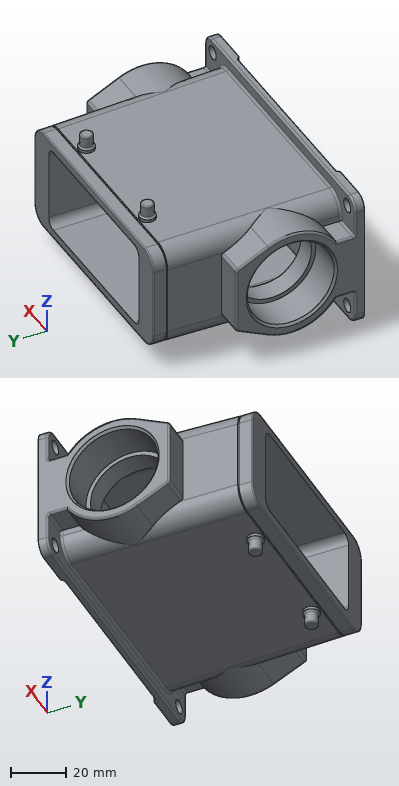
import cadquery as cq
import math

LENGTH = 117.0
DEPTH = 80.3
HEIGHT = 56.0

FLANGE_THICKNESS = 4.0
FLANGE_CORNER_RADIUS = 5.0
SCREW_HOLE_DIAMETER = 5.5
SCREW_SPACING_X = 105.0
SCREW_SPACING_Z = 45.2
RELIEF_DEPTH = 1.2
RELIEF_OPEN_WIDTH = 79.1
RELIEF_FLOOR_WIDTH = RELIEF_OPEN_WIDTH - 2 * RELIEF_DEPTH

SHELL_END_Y = 74.8
SHELL_BASE_WIDTH = 95.5
SHELL_BASE_HEIGHT = 45.4
SHELL_DRAFT_ANGLE = 1.0
SHELL_CORNER_RADIUS = 7.6
SHELL_END_CHAMFER = 0.4
COLLAR_WIDTH = 92.7
COLLAR_HEIGHT = 42.4
COLLAR_CORNER_RADIUS = 6.9
COLLAR_EDGE_RADIUS = 0.5

ENTRY_Y = 29.8
ENTRY_RADIUS = 22.2
ENTRY_FLAT_Y = 52.6
ENTRY_FLAT_HEIGHT = 27.4
ENTRY_FLAT_CORNER_RADIUS = 1.5
NECK_HEIGHT = 25.0
ENTRY_BORE_DIAMETER = 35.6
ENTRY_BORE_DEPTH = 15.2
ENTRY_BORE_CHAMFER = 0.9
THROUGH_HOLE_DIAMETER = 32.0

OUTER_EDGE_RADIUS = 0.8
FOOT_RADIUS = 0.9

CAVITY_WIDTH = 70.2
CAVITY_HEIGHT = 35.1
CAVITY_START_Y = 9.4
CAVITY_CORNER_RADIUS = 3.5

PEG_SPACING = 47.5
PEG_Y = 70.8
PEG_DIAMETER = 5.0
PEG_TIP_RADIUS = 0.5
PEG_SEAT_Z = 21.1
RING_TOP_Z = 22.7
RING_FILLET_RADIUS = 0.7
RING_DIAMETER = PEG_DIAMETER + 2 * RING_FILLET_RADIUS


def xz_plane(y):
    """Sketch plane at the given Y whose normal is +Y and whose local X is +X (local Y is -Z)."""
    return cq.Workplane(cq.Plane(origin=(0, y, 0), xDir=(1, 0, 0), normal=(0, 1, 0)))


def box_selector(center, size):
    """Select what has its centre inside a box of the given centre and size."""
    low = tuple(middle - extent / 2 for middle, extent in zip(center, size))
    high = tuple(middle + extent / 2 for middle, extent in zip(center, size))
    return cq.selectors.BoxSelector(low, high)


def make_flange():
    return (
        xz_plane(0)
        .rect(LENGTH, HEIGHT)
        .extrude(FLANGE_THICKNESS)
        .edges("|Y")
        .fillet(FLANGE_CORNER_RADIUS)
    )


def make_shell():
    shell = (
        xz_plane(0)
        .workplane(offset=FLANGE_THICKNESS)
        .rect(SHELL_BASE_WIDTH, SHELL_BASE_HEIGHT)
        .extrude(SHELL_END_Y - FLANGE_THICKNESS, taper=SHELL_DRAFT_ANGLE)
    )
    sloping_corners = shell.edges("not(#Y)")
    shell = sloping_corners.fillet(SHELL_CORNER_RADIUS)
    return shell.faces(">Y").chamfer(SHELL_END_CHAMFER)


def make_collar():
    return (
        xz_plane(SHELL_END_Y)
        .rect(COLLAR_WIDTH, COLLAR_HEIGHT)
        .extrude(DEPTH - SHELL_END_Y)
        .edges("|Y")
        .fillet(COLLAR_CORNER_RADIUS)
        .faces(">Y")
        .edges()
        .fillet(COLLAR_EDGE_RADIUS)
    )


def make_entry_body():
    """Both cable entries in one length: round boss, tapered to a flat, with a neck to the flange."""
    corner_y = ENTRY_FLAT_Y - ENTRY_Y
    corner_z = ENTRY_FLAT_HEIGHT / 2
    corner_distance = math.hypot(corner_y, corner_z)
    tangent_angle = math.atan2(corner_z, corner_y) + math.acos(ENTRY_RADIUS / corner_distance)
    tangent_y = ENTRY_Y + ENTRY_RADIUS * math.cos(tangent_angle)
    tangent_z = ENTRY_RADIUS * math.sin(tangent_angle)
    neck_z = NECK_HEIGHT / 2
    neck_y = ENTRY_Y - math.sqrt(ENTRY_RADIUS**2 - neck_z**2)
    foot_z = neck_z + FOOT_RADIUS
    crown_z = ENTRY_RADIUS
    return (
        cq.Workplane("YZ")
        .moveTo(0, -foot_z)
        .lineTo(FLANGE_THICKNESS, -foot_z)
        .radiusArc((FLANGE_THICKNESS + FOOT_RADIUS, -neck_z), FOOT_RADIUS)
        .lineTo(neck_y, -neck_z)
        .threePointArc((ENTRY_Y, -crown_z), (tangent_y, -tangent_z))
        .lineTo(ENTRY_FLAT_Y, -corner_z)
        .lineTo(ENTRY_FLAT_Y, corner_z)
        .lineTo(tangent_y, tangent_z)
        .threePointArc((ENTRY_Y, crown_z), (neck_y, neck_z))
        .lineTo(FLANGE_THICKNESS + FOOT_RADIUS, neck_z)
        .radiusArc((FLANGE_THICKNESS, foot_z), FOOT_RADIUS)
        .lineTo(0, foot_z)
        .close()
        .extrude(LENGTH / 2, both=True)
        .edges(box_selector((0, ENTRY_FLAT_Y, 0), (LENGTH / 2, ENTRY_RADIUS / 2, HEIGHT)))
        .fillet(ENTRY_FLAT_CORNER_RADIUS)
    )


def cut_relief(body):
    """Shallow bevelled recess across the middle of the mounting face."""
    relief = (
        cq.Workplane("XY")
        .polyline(
            [
                (-RELIEF_OPEN_WIDTH / 2, 0),
                (RELIEF_OPEN_WIDTH / 2, 0),
                (RELIEF_FLOOR_WIDTH / 2, RELIEF_DEPTH),
                (-RELIEF_FLOOR_WIDTH / 2, RELIEF_DEPTH),
            ]
        )
        .close()
        .extrude(HEIGHT / 2, both=True)
    )
    return body.cut(relief)


def cut_screw_holes(body):
    holes = (
        xz_plane(0)
        .rarray(SCREW_SPACING_X, SCREW_SPACING_Z, 2, 2)
        .circle(SCREW_HOLE_DIAMETER / 2)
        .extrude(FLANGE_THICKNESS)
    )
    return body.cut(holes)


def make_outer_body():
    """Flange, shell, collar and cable entries in one, with the foot and the outer edges rounded."""
    flange_and_shell = make_flange().union(make_shell())
    base_size = (SHELL_BASE_WIDTH + FOOT_RADIUS, FOOT_RADIUS, SHELL_BASE_HEIGHT + FOOT_RADIUS)
    foot_edges = box_selector((0, FLANGE_THICKNESS, 0), base_size)
    flange_and_shell = flange_and_shell.edges(foot_edges).fillet(FOOT_RADIUS)
    body = flange_and_shell.union(make_entry_body()).union(make_collar())
    end_edges = body.faces("<X or >X").edges("not(<Y)")
    rim_edges = body.faces("<Z or >Z").edges(">Y")
    return end_edges.add(rim_edges).fillet(OUTER_EDGE_RADIUS)


def cut_cable_openings(body):
    """Hole right through both entries, a wider bore in each end and a chamfer at each mouth."""
    bore_radius = ENTRY_BORE_DIAMETER / 2
    bore_start_x = LENGTH / 2 - ENTRY_BORE_DEPTH
    axis = cq.Workplane("YZ").center(ENTRY_Y, 0)
    body = body.cut(axis.circle(THROUGH_HOLE_DIAMETER / 2).extrude(LENGTH / 2, both=True))
    half_profile = [
        (bore_start_x, 0),
        (bore_start_x, bore_radius),
        (LENGTH / 2 - ENTRY_BORE_CHAMFER, bore_radius),
        (LENGTH / 2, bore_radius + ENTRY_BORE_CHAMFER),
        (LENGTH / 2, 0),
    ]
    bore = (
        cq.Workplane("XY", origin=(0, ENTRY_Y, 0))
        .polyline(half_profile)
        .close()
        .revolve(360, (0, 0, 0), (1, 0, 0))
    )
    return body.cut(bore).cut(bore.mirror("YZ"))


def cut_cavity(body):
    """Plain pocket, open at the collar, that both cable holes break into."""
    cavity = (
        xz_plane(CAVITY_START_Y)
        .rect(CAVITY_WIDTH, CAVITY_HEIGHT)
        .extrude(DEPTH - CAVITY_START_Y)
        .edges("|Y")
        .fillet(CAVITY_CORNER_RADIUS)
    )
    return body.cut(cavity)


def make_peg(x, side):
    """Stepped peg on the upper (side = 1) or lower (side = -1) face, with a ring at its root."""
    peg_radius = PEG_DIAMETER / 2
    tip_z = HEIGHT / 2
    peg = (
        cq.Workplane("XZ")
        .moveTo(0, PEG_SEAT_Z)
        .lineTo(RING_DIAMETER / 2, PEG_SEAT_Z)
        .lineTo(RING_DIAMETER / 2, RING_TOP_Z)
        .radiusArc((peg_radius, RING_TOP_Z + RING_FILLET_RADIUS), RING_FILLET_RADIUS)
        .lineTo(peg_radius, tip_z - PEG_TIP_RADIUS)
        .radiusArc((peg_radius - PEG_TIP_RADIUS, tip_z), -PEG_TIP_RADIUS)
        .lineTo(0, tip_z)
        .close()
        .revolve(360, (0, 0, 0), (0, 1, 0))
    )
    if side < 0:
        peg = peg.mirror("XY")
    return peg.translate((x, PEG_Y, 0))


def make_housing(pegs):
    housing = make_outer_body()
    housing = cut_relief(housing)
    housing = cut_screw_holes(housing)
    housing = cut_cavity(housing)
    housing = cut_cable_openings(housing)
    for peg in pegs:
        housing = housing.cut(peg)
    return housing


pegs = [make_peg(x, side) for x in (-PEG_SPACING / 2, PEG_SPACING / 2) for side in (-1, 1)]
housing = make_housing(pegs)

result = cq.Compound.makeCompound([housing.val(), *[peg.val() for peg in pegs]])